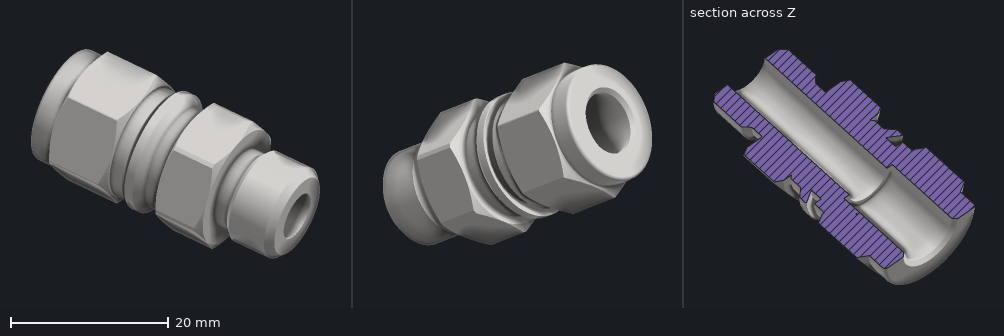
import cadquery as cq
import math

LENGTH = 35.5
HEX_FLATS = 15.98
HEX_CHAMFER_ANGLE = 30.0

NUT_NOSE_DIAMETER = 15.5
NUT_NOSE_FILLET = 0.45
NUT_HEX_START = 3.0
NUT_HEX_END = 12.0
NUT_HEX_CORNERS = 18.35
NUT_HEX_REAR_FACE_DIAMETER = 15.7
NUT_COLLAR_DIAMETER = 15.0
NUT_COLLAR_END = 13.9
NUT_COLLAR_FILLET = 0.18

NECK_DIAMETER = 12.7
FLANGE_DIAMETER = 16.5
FLANGE_START = 14.65
FLANGE_RIM_WIDTH = 1.2
DISH_RIM_DIAMETER = 16.15
DISH_DEPTH = 1.05
RING_DIAMETER = 14.2
RING_CHAMFER = 0.4

BODY_HEX_START = 19.25
BODY_HEX_END = 26.35
BODY_HEX_CORNERS = 18.1
BODY_HEX_FACE_DIAMETER = 15.98

RELIEF_DIAMETER = 10.8
RELIEF_END = 28.25
THREAD_DIAMETER = 12.7

BORE_DIAMETER = 6.35
SOCKET_DIAMETER = 8.13
SOCKET_DEPTH = NUT_HEX_END
SOCKET_MOUTH_DIAMETER = 9.15
SOCKET_CHAMFER = (SOCKET_MOUTH_DIAMETER - SOCKET_DIAMETER) / 2


def cylinder(start, end, diameter):
    """Cylinder on the X axis between two stations."""
    return cq.Workplane("YZ", origin=(start, 0, 0)).circle(diameter / 2).extrude(end - start)


def revolve_profile(points):
    """Turn an (x, radius) outline about the X axis."""
    return cq.Workplane("XY").polyline(points).close().revolve(360, (0, 0, 0), (1, 0, 0))


def hexagon(start, end, corners, front_face, rear_face):
    """Hexagon with corners on the Y axis, turned to a corner diameter and coned at both ends."""
    prism = (
        cq.Workplane("YZ", origin=(start, 0, 0))
        .polygon(6, HEX_FLATS / math.cos(math.pi / 6))
        .extrude(end - start)
    )
    cone_slope = math.tan(math.radians(HEX_CHAMFER_ANGLE))
    front_cone = (corners - front_face) / 2 * cone_slope
    rear_cone = (corners - rear_face) / 2 * cone_slope
    envelope = revolve_profile([
        (start, 0),
        (start, front_face / 2),
        (start + front_cone, corners / 2),
        (end - rear_cone, corners / 2),
        (end, rear_face / 2),
        (end, 0),
    ])
    return prism.intersect(envelope)


def tube_nut():
    nose = cylinder(0, NUT_HEX_START, NUT_NOSE_DIAMETER).faces("<X").edges().fillet(NUT_NOSE_FILLET)
    grip = hexagon(
        NUT_HEX_START, NUT_HEX_END, NUT_HEX_CORNERS, NUT_NOSE_DIAMETER, NUT_HEX_REAR_FACE_DIAMETER
    )
    collar = cylinder(NUT_HEX_END, NUT_COLLAR_END, NUT_COLLAR_DIAMETER)
    collar = collar.faces(">X").edges().fillet(NUT_COLLAR_FILLET)
    return nose.union(grip).union(collar)


def flanged_ring():
    """Ring with a conical dish sunk into the flange face around the neck."""
    rim_end = FLANGE_START + FLANGE_RIM_WIDTH
    cone_end = rim_end + (FLANGE_DIAMETER - RING_DIAMETER) / 2
    dish_root = FLANGE_START + DISH_DEPTH
    return revolve_profile([
        (NUT_COLLAR_END, 0),
        (NUT_COLLAR_END, NECK_DIAMETER / 2),
        (dish_root, NECK_DIAMETER / 2),
        (FLANGE_START, DISH_RIM_DIAMETER / 2),
        (FLANGE_START, FLANGE_DIAMETER / 2),
        (rim_end, FLANGE_DIAMETER / 2),
        (cone_end, RING_DIAMETER / 2),
        (BODY_HEX_START - RING_CHAMFER, RING_DIAMETER / 2),
        (BODY_HEX_START, RING_DIAMETER / 2 - RING_CHAMFER),
        (BODY_HEX_START, 0),
    ])


def threaded_end():
    relief = cylinder(BODY_HEX_END, RELIEF_END, RELIEF_DIAMETER)
    thread = cylinder(RELIEF_END, LENGTH, THREAD_DIAMETER)
    thread = thread.edges().chamfer((THREAD_DIAMETER - RELIEF_DIAMETER) / 2)
    return relief.union(thread)


def tube_passage():
    bore = cylinder(0, LENGTH, BORE_DIAMETER)
    socket = cylinder(0, SOCKET_DEPTH, SOCKET_DIAMETER)
    mouth = revolve_profile([
        (0, 0),
        (0, SOCKET_MOUTH_DIAMETER / 2),
        (SOCKET_CHAMFER, SOCKET_DIAMETER / 2),
        (SOCKET_CHAMFER, 0),
    ])
    return bore.union(socket).union(mouth)


body_hex = hexagon(
    BODY_HEX_START, BODY_HEX_END, BODY_HEX_CORNERS, BODY_HEX_FACE_DIAMETER, BODY_HEX_FACE_DIAMETER
)
result = tube_nut().union(flanged_ring()).union(body_hex).union(threaded_end()).cut(tube_passage())